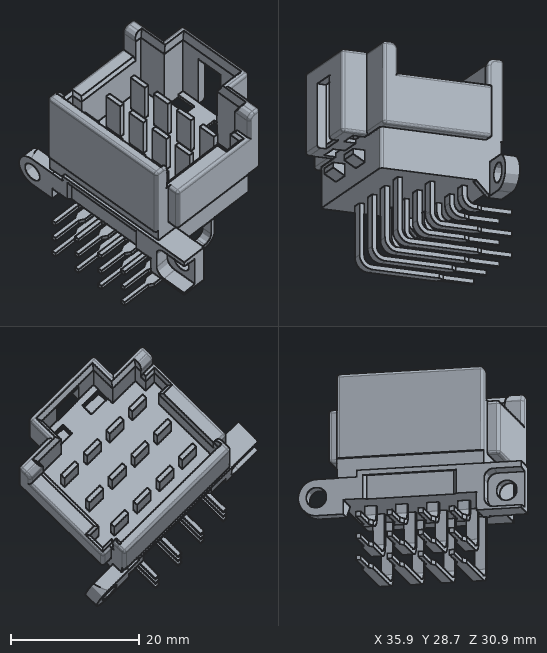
import cadquery as cq
import math


TOP = 20.3
SHROUD_BOTTOM = 6.75
FLOOR = 7.4
RAIL_TOP = 15.3
FRONT_HALF = 11.8
SHROUD_HALF = 13.75
KEY_HALF = 7.25
SIDE_FRONT = 2.8
SIDE_REAR = 18.85
BACK = 21.45
KEY_BACK = 25.7
EDGE_ROUND = 0.5
POST_ROUND = 1.2

CAVITY_HALF = 10.75
CAVITY_FRONT = 1.6
CAVITY_BACK = 20.0
KEY_CAVITY_HALF = 5.7
KEY_CAVITY_BACK = 24.2
SLOT_BOTTOM_HALF = 12.7
LEFT_SLOT = (3.84, 6.64)
RIGHT_SLOT = (14.9, 17.75)
SIDE_FLARE = 0.53
BACK_FLARE = 0.75
TOP_FLARE_DEPTH = 1.15
WINDOW_HALF = 2.4
WINDOW_TOP = 17.2

BASE_FRONT = 0.55
BASE_BACK = 21.1
LATCH_INNER = 2.15
LATCH_REACH = 2.0
LATCH_TOP = 4.6
LATCH_TIP_BOTTOM = 3.75
LATCH_ROOT_BOTTOM = 2.65

HOLE_SPACING = 30.0
HOLE_DIAMETER = 3.2
HOLE_Z = 0.6
LUG_RADIUS = 2.925
LEFT_LUG_DEPTH = 2.5
LEFT_LUG_DROP = 0.25
RIGHT_LUG_DEPTH = 4.47
RIGHT_GUSSET_DEPTH = 4.92
FLANGE_TOP = 4.6
FLANGE_STEP_X = -8.5
LUG_INNER = 10.7
RIGHT_LUG_BOTTOM = -2.9
LUG_POCKET_DEPTH = 2.4
LUG_POCKET_INNER = 11.95
LUG_POCKET_HALF = 3.06
LUG_POCKET_ROUND = 1.55
LUG_POCKET_SLOPE = 0.22
RECESS_HALF = 7.5
RECESS_TOP = 3.8
RECESS_DEPTH = 0.5

PIN_COLUMNS = 4
PIN_PITCH = 5.0
PIN_FRONT_ROW = 5.3
PIN_ROW_PITCH = 5.5
PIN_ROWS = 3
PIN_THICKNESS = 0.8
BLADE_WIDTH = 3.08
BLADE_TOP = 14.4
TAIL_WIDTH = 1.85
TIP_WIDTH = 0.8
TAIL_FRONT_Z = -3.2
TAIL_STEP = 3.5
TAIL_END = -3.0
TAPER_START = 3.1
TAPER_END = 2.25
BEND_RADIUS = 2.2

HOLE_X = HOLE_SPACING / 2
LUG_END = HOLE_X + LUG_RADIUS


def box(x0, x1, y0, y1, z0, z1):
    """Axis-aligned box between the given limits."""
    return cq.Workplane("XY").box(x1 - x0, y1 - y0, z1 - z0, centered=False).translate((x0, y0, z0))


def prism_xy(points, z0, z1):
    """Plan outline raised from z0 to z1."""
    return cq.Workplane("XY", origin=(0, 0, z0)).polyline(points).close().extrude(z1 - z0)


def prism_xz(points, y0, y1):
    """Front outline carried from y0 back to y1."""
    return cq.Workplane("XZ", origin=(0, y0, 0)).polyline(points).close().extrude(y0 - y1)


def prism_yz(points, x0, x1):
    """Side outline carried from x0 to x1."""
    return cq.Workplane("YZ", origin=(x0, 0, 0)).polyline(points).close().extrude(x1 - x0)


def flared(lower, upper, z0, z1):
    """Straight-sided solid that widens from one plan outline to another."""
    plane = cq.Workplane("XY", origin=(0, 0, z0)).polyline(lower).close()
    return plane.workplane(offset=z1 - z0).polyline(upper).close().loft(ruled=True)


def shroud_shell():
    """Shroud with its rounded outer edges, before the cavity is opened."""
    slab = box(-FRONT_HALF, FRONT_HALF, 0, SIDE_FRONT, SHROUD_BOTTOM, TOP)
    slab = slab.edges(">Y and >Z").fillet(POST_ROUND)
    slab = slab.faces("<X or >X or <Y").edges("not <Z").fillet(EDGE_ROUND)

    rails = box(-SHROUD_HALF, SHROUD_HALF, SIDE_FRONT, BACK, SHROUD_BOTTOM, RAIL_TOP)
    rails = rails.edges().fillet(EDGE_ROUND)

    posts = box(-SHROUD_HALF, SHROUD_HALF, SIDE_REAR, BACK, SHROUD_BOTTOM, TOP)
    posts = posts.edges("<Y and >Z").fillet(POST_ROUND)
    posts = posts.faces("<X or >X or >Y").edges().fillet(EDGE_ROUND)

    key = box(-KEY_HALF, KEY_HALF, SIDE_REAR, KEY_BACK, SHROUD_BOTTOM, TOP)
    key = key.edges("not <Y").fillet(EDGE_ROUND)

    joint = box(-FRONT_HALF, FRONT_HALF, CAVITY_FRONT, LEFT_SLOT[0], SHROUD_BOTTOM, RAIL_TOP)
    return slab.union(rails).union(joint).union(posts).union(key)


def cavity():
    """Keyed opening with its flared mouth, code slots and rear key window."""
    def plan(side, back):
        right = [
            (CAVITY_HALF + side, CAVITY_FRONT),
            (CAVITY_HALF + side, CAVITY_BACK + back),
            (KEY_CAVITY_HALF + side, CAVITY_BACK + back),
            (KEY_CAVITY_HALF + side, KEY_CAVITY_BACK + back),
        ]
        return right + [(-x, y) for x, y in reversed(right)]

    opening = prism_xy(plan(0, 0), FLOOR, TOP)
    mouth = flared(plan(0, 0), plan(SIDE_FLARE, BACK_FLARE), TOP - TOP_FLARE_DEPTH, TOP)
    window = box(-WINDOW_HALF, WINDOW_HALF, KEY_CAVITY_BACK, KEY_BACK, SHROUD_BOTTOM, WINDOW_TOP)
    opening = opening.union(mouth).union(window)
    for side, slot in ((-1, LEFT_SLOT), (1, RIGHT_SLOT)):
        opening = opening.union(rail_opening(side, slot))
    return opening


def rail_opening(side, slot):
    """Code slot in one side rail, with the bevel along the rail's inner top edge."""
    def plan(flare):
        wall = side * (CAVITY_HALF + flare)
        slot_bottom = side * (SLOT_BOTTOM_HALF + flare)
        return [
            (0, SIDE_FRONT),
            (wall, SIDE_FRONT),
            (wall, slot[0] - flare),
            (slot_bottom, slot[0] - flare),
            (slot_bottom, slot[1] + flare),
            (wall, slot[1] + flare),
            (wall, SIDE_REAR),
            (0, SIDE_REAR),
        ]

    bevel = flared(plan(0), plan(SIDE_FLARE), RAIL_TOP - SIDE_FLARE, RAIL_TOP)
    return prism_xy(plan(0), FLOOR, RAIL_TOP).union(bevel)


def base():
    """Block under the shroud with a pair of latches on its rear face."""
    block = box(-FRONT_HALF, FRONT_HALF, BASE_FRONT, BASE_BACK, 0, SHROUD_BOTTOM)
    block = block.edges("|Z and >Y").fillet(EDGE_ROUND)
    latch_root = BASE_BACK - EDGE_ROUND
    hook = [
        (latch_root, LATCH_ROOT_BOTTOM),
        (BASE_BACK, LATCH_ROOT_BOTTOM),
        (BASE_BACK + LATCH_REACH, LATCH_TIP_BOTTOM),
        (BASE_BACK + LATCH_REACH, LATCH_TOP),
        (latch_root, LATCH_TOP),
    ]
    for x0, x1 in latch_spans():
        block = block.union(prism_yz(hook, x0, x1))
    return block


def latch_spans():
    """X limits of the two latches, which sit under the outer parts of the key."""
    return ((-KEY_CAVITY_HALF, -LATCH_INNER), (LATCH_INNER, KEY_CAVITY_HALF))


def latch_holes():
    """Floor openings directly above the latches."""
    holes = cq.Workplane("XY")
    for x0, x1 in latch_spans():
        holes = holes.add(box(x0, x1, BASE_BACK, BASE_BACK + LATCH_REACH, SHROUD_BOTTOM, FLOOR))
    return holes.combine()


def left_lug():
    """Round-ended lug whose top slopes down toward the rear."""
    lug_top = HOLE_Z + LUG_RADIUS
    lug_bottom = HOLE_Z - LUG_RADIUS
    eye = cq.Workplane("XZ").center(-HOLE_X, HOLE_Z).circle(LUG_RADIUS).extrude(-LEFT_LUG_DEPTH)
    arm = box(-HOLE_X, -LUG_INNER, 0, LEFT_LUG_DEPTH, lug_bottom, lug_top)
    slope = [(0, lug_top), (LEFT_LUG_DEPTH, lug_top), (LEFT_LUG_DEPTH, lug_top - LEFT_LUG_DROP)]
    lug = eye.union(arm).cut(prism_yz(slope, -LUG_END, -LUG_INNER))
    return lug.union(gusset(-FRONT_HALF, -LUG_INNER, LEFT_LUG_DEPTH, lug_bottom))


def gusset(x0, x1, depth, bottom):
    """Brace under the base that rises rearward at 45 degrees from a lug's bottom to the base."""
    return prism_yz([(0, 0), (0, bottom), (depth, bottom), (depth - bottom, 0)], x0, x1)


def right_lug():
    """Square lug with a pocket, open at its front and outer end, that narrows toward the rear."""
    lug = box(LUG_INNER, LUG_END, 0, RIGHT_LUG_DEPTH, RIGHT_LUG_BOTTOM, FLANGE_TOP)
    pocket_bottom = HOLE_Z - LUG_POCKET_HALF
    pocket_top = HOLE_Z + LUG_POCKET_HALF
    section = [
        (0, pocket_bottom),
        (LUG_POCKET_DEPTH, pocket_bottom + LUG_POCKET_SLOPE),
        (LUG_POCKET_DEPTH, pocket_top - LUG_POCKET_SLOPE),
        (0, pocket_top),
    ]
    pocket = prism_yz(section, LUG_POCKET_INNER, LUG_END)
    pocket = pocket.faces("<X").edges("not |Z").fillet(LUG_POCKET_ROUND)
    lug = lug.cut(pocket)
    return lug.union(gusset(LUG_INNER, FRONT_HALF, RIGHT_GUSSET_DEPTH, RIGHT_LUG_BOTTOM))


def flange():
    """Front plate joining both lugs, with a shallow recess and the mounting holes."""
    strip_top = HOLE_Z + LUG_RADIUS
    outline = [
        (-LUG_INNER, 0),
        (LUG_INNER, 0),
        (LUG_INNER, FLANGE_TOP),
        (FLANGE_STEP_X, FLANGE_TOP),
        (FLANGE_STEP_X, strip_top),
        (-LUG_INNER, strip_top),
    ]
    plate = prism_xz(outline, 0, BASE_FRONT).union(left_lug()).union(right_lug())
    recess = prism_xy(
        [
            (-RECESS_HALF, 0),
            (RECESS_HALF, 0),
            (RECESS_HALF - RECESS_DEPTH, RECESS_DEPTH),
            (RECESS_DEPTH - RECESS_HALF, RECESS_DEPTH),
        ],
        0,
        RECESS_TOP,
    )
    holes = (
        cq.Workplane("XZ")
        .pushPoints([(-HOLE_X, HOLE_Z), (HOLE_X, HOLE_Z)])
        .circle(HOLE_DIAMETER / 2)
        .extrude(-RIGHT_LUG_DEPTH)
    )
    return plate.cut(recess).cut(holes)


def pin(x, row):
    """Bent pin: wide blade in the cavity, narrower tail turned forward, tapered tip."""
    half = PIN_THICKNESS / 2
    y = PIN_FRONT_ROW + row * PIN_ROW_PITCH
    tail_z = TAIL_FRONT_Z - row * TAIL_STEP
    blade = box(x - BLADE_WIDTH / 2, x + BLADE_WIDTH / 2, y - half, y + half, FLOOR, BLADE_TOP)

    inner_radius = BEND_RADIUS - PIN_THICKNESS
    center_y = y + half - BEND_RADIUS
    center_z = tail_z - half + BEND_RADIUS
    diagonal = math.sqrt(0.5)
    strip = (
        cq.Workplane("YZ", origin=(x - TAIL_WIDTH / 2, 0, 0))
        .moveTo(y + half, 0)
        .lineTo(y + half, center_z)
        .threePointArc(
            (center_y + BEND_RADIUS * diagonal, center_z - BEND_RADIUS * diagonal),
            (center_y, tail_z - half),
        )
        .lineTo(TAIL_END, tail_z - half)
        .lineTo(TAIL_END, tail_z + half)
        .lineTo(center_y, tail_z + half)
        .threePointArc(
            (center_y + inner_radius * diagonal, center_z - inner_radius * diagonal),
            (y - half, center_z),
        )
        .lineTo(y - half, 0)
        .close()
        .extrude(TAIL_WIDTH)
    )
    for side in (-1, 1):
        trim = [
            (x + side * TAIL_WIDTH / 2, TAPER_START),
            (x + side * TIP_WIDTH / 2, TAPER_END),
            (x + side * TIP_WIDTH / 2, TAIL_END),
            (x + side * TAIL_WIDTH / 2, TAIL_END),
        ]
        strip = strip.cut(prism_xy(trim, tail_z - half, tail_z + half))
    return blade.union(strip)


def header():
    """Complete header with its shroud, base, flange and grid of pins."""
    body = shroud_shell().cut(cavity())
    body = body.union(base()).union(flange()).cut(latch_holes())
    for column in range(PIN_COLUMNS):
        x = (column - (PIN_COLUMNS - 1) / 2) * PIN_PITCH
        for row in range(PIN_ROWS):
            body = body.union(pin(x, row))
    return body


result = header()